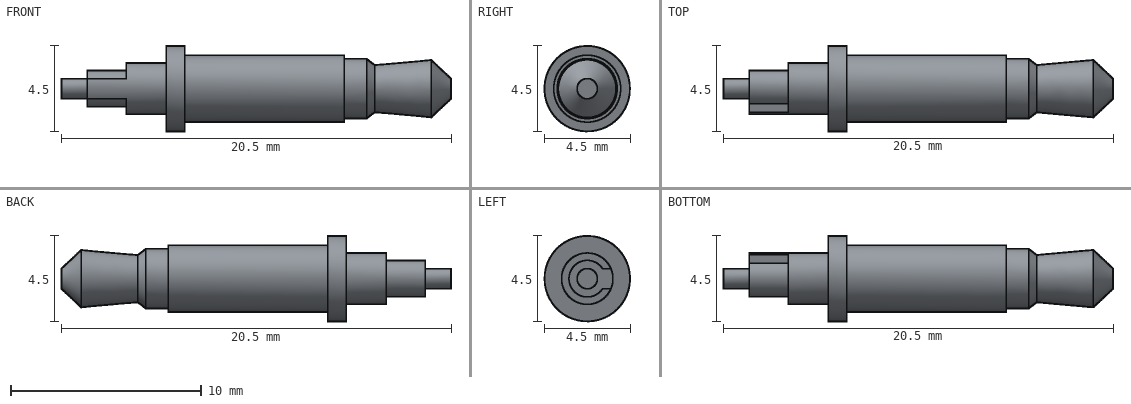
import cadquery as cq

LENGTH = 20.5
PIN_END = 1.35
COLLAR_END = 3.4
HUB_END = 5.51
FLANGE_END = 6.5
SLEEVE_END = 14.88
RING_CHAMFER_START = 16.05
RING_END = 16.48
TIP_SHOULDER = 19.45

PIN_RADIUS = 0.53
COLLAR_RADIUS = 0.96
HUB_RADIUS = 1.35
FLANGE_RADIUS = 2.25
SLEEVE_RADIUS = 1.76
RING_RADIUS = 1.58
NECK_RADIUS = 1.25
TIP_RADIUS = 1.52
TIP_END_RADIUS = PIN_RADIUS

KEY_WIDTH = 2 * PIN_RADIUS


def turned_body():
    """Revolve the stepped half profile of the plug about the X axis."""
    profile = [
        (0, 0),
        (0, PIN_RADIUS),
        (PIN_END, PIN_RADIUS),
        (PIN_END, COLLAR_RADIUS),
        (COLLAR_END, COLLAR_RADIUS),
        (COLLAR_END, HUB_RADIUS),
        (HUB_END, HUB_RADIUS),
        (HUB_END, FLANGE_RADIUS),
        (FLANGE_END, FLANGE_RADIUS),
        (FLANGE_END, SLEEVE_RADIUS),
        (SLEEVE_END, SLEEVE_RADIUS),
        (SLEEVE_END, RING_RADIUS),
        (RING_CHAMFER_START, RING_RADIUS),
        (RING_END, NECK_RADIUS),
        (TIP_SHOULDER, TIP_RADIUS),
        (LENGTH, TIP_END_RADIUS),
        (LENGTH, 0),
    ]
    return cq.Workplane("XY").polyline(profile).close().revolve(360, (0, 0), (1, 0))


def terminal_key():
    """Flat-sided key whose outer face continues the hub cylinder."""
    length = COLLAR_END - PIN_END
    hub_extension = cq.Workplane("YZ", origin=(PIN_END, 0, 0)).circle(HUB_RADIUS).extrude(length)
    key_slab = cq.Workplane("XY").box(length, HUB_RADIUS, KEY_WIDTH, centered=(False, False, True))
    return hub_extension.intersect(key_slab.translate((PIN_END, -HUB_RADIUS, 0)))


result = turned_body().union(terminal_key())